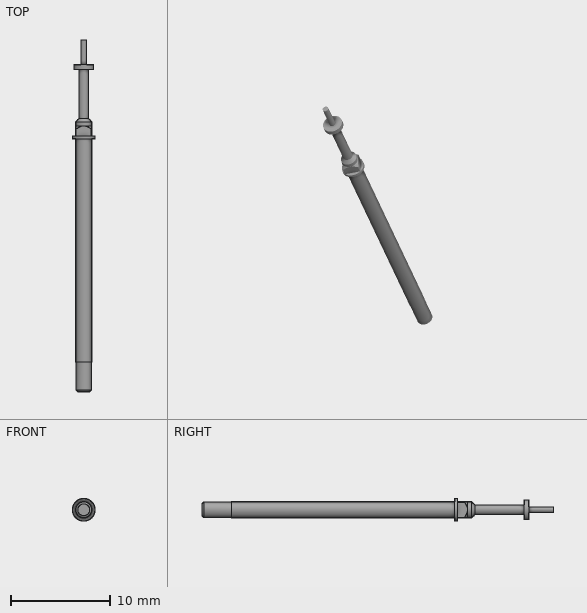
import cadquery as cq

TOTAL_LENGTH = 35.54

PIN_DIA = 0.6
COLLAR_DIA = 2.0
SHAFT_DIA = 1.0
BODY_DIA = 1.65
PLUG_DIA = 1.6
FLANGE_DIA = 2.3

PIN_LENGTH = 2.5
COLLAR_WIDTH = 0.5
SHAFT_LENGTH = 4.95
SHOULDER_LENGTH = 0.35
NECK_LENGTH = 0.4
SQUARE_LENGTH = 1.0
FLANGE_WIDTH = 0.3
PLUG_LENGTH = 3.0
END_CHAMFER = 0.2

SQUARE_SIDE = BODY_DIA
SQUARE_CORNER_DIA = 2.24
LEAD_IN_LENGTH = 0.3

FLANGE_TOP = FLANGE_WIDTH
SQUARE_TOP = FLANGE_TOP + SQUARE_LENGTH
NECK_TOP = SQUARE_TOP + NECK_LENGTH
SHAFT_BASE = NECK_TOP + SHOULDER_LENGTH
COLLAR_BASE = SHAFT_BASE + SHAFT_LENGTH
COLLAR_TOP = COLLAR_BASE + COLLAR_WIDTH
PIN_TIP = COLLAR_TOP + PIN_LENGTH
BODY_END = PIN_TIP - TOTAL_LENGTH
PLUG_TOP = BODY_END + PLUG_LENGTH


def turned(outline):
    """Revolve (radius, y) points about the Y axis; the outline closes along the axis."""
    start = (0, outline[0][1])
    end = (0, outline[-1][1])
    profile = cq.Workplane("XY").polyline([start] + outline + [end]).close()
    return profile.revolve(360, (0, 0, 0), (0, 1, 0))


def flange():
    """Thin round stop flange at the upper end of the body."""
    return turned([(FLANGE_DIA / 2, 0), (FLANGE_DIA / 2, FLANGE_TOP)])


def barrel():
    """Long body with a slimmer, chamfered end, running up to the flange."""
    return turned([
        (PLUG_DIA / 2 - END_CHAMFER, BODY_END),
        (PLUG_DIA / 2, BODY_END + END_CHAMFER),
        (PLUG_DIA / 2, PLUG_TOP),
        (BODY_DIA / 2, PLUG_TOP),
        (BODY_DIA / 2, 0),
    ])


def key_square():
    """Square block whose corners are turned round and tapered to the neck."""
    block = cq.Workplane("XY").box(
        SQUARE_SIDE, SQUARE_LENGTH, SQUARE_SIDE, centered=(True, False, True)
    ).translate((0, FLANGE_TOP, 0))
    corner_limit = turned([
        (SQUARE_CORNER_DIA / 2, FLANGE_TOP),
        (SQUARE_CORNER_DIA / 2, SQUARE_TOP - LEAD_IN_LENGTH),
        (BODY_DIA / 2, SQUARE_TOP),
    ])
    return block.intersect(corner_limit)


def plunger():
    """Neck, conical shoulder, shaft, collar and slim contact pin."""
    return turned([
        (BODY_DIA / 2, SQUARE_TOP),
        (BODY_DIA / 2, NECK_TOP),
        (SHAFT_DIA / 2, SHAFT_BASE),
        (SHAFT_DIA / 2, COLLAR_BASE),
        (COLLAR_DIA / 2, COLLAR_BASE),
        (COLLAR_DIA / 2, COLLAR_TOP),
        (PIN_DIA / 2, COLLAR_TOP),
        (PIN_DIA / 2, PIN_TIP),
    ])


result = barrel().union(flange()).union(key_square()).union(plunger())